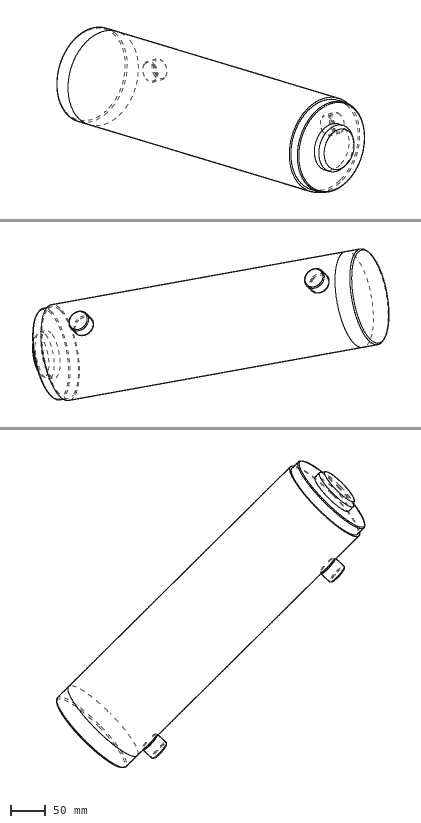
import cadquery as cq

total_length = 515.0
front_cap_length = 25.0
shell_end = 484.5
rear_cap_end = 499.5

shell_radius = 70.0
rear_cap_radius = 67.0
front_cap_chamfer = 2.0
rear_cap_chamfer = 1.5

hub_radius = 34.5
hub_chamfer_length = 6.0
hub_chamfer_depth = 4.5

port_radius = 15.5
port_chamfer = 1.5
port_base = 69.0
port_tip = 90.0
port_stations = [49.5, 417.5]


def disc(start, end, radius):
    """Solid cylinder on the main axis between two X stations."""
    return cq.Workplane("YZ", origin=(start, 0, 0)).circle(radius).extrude(end - start)


def make_front_cap():
    return disc(0, front_cap_length, shell_radius).faces("<X").chamfer(front_cap_chamfer)


def make_shell(ports):
    """Main cylinder with a shallow seat where each port sinks into its side."""
    shell = disc(front_cap_length, shell_end, shell_radius)
    for port in ports:
        shell = shell.cut(port)
    return shell


def make_rear_cap():
    return disc(shell_end, rear_cap_end, rear_cap_radius).faces(">X").chamfer(rear_cap_chamfer)


def make_hub():
    """Round hub with a bevelled outer end, built as a revolved half profile."""
    bevel_start = total_length - hub_chamfer_length
    return (
        cq.Workplane("XY")
        .moveTo(rear_cap_end, 0)
        .lineTo(rear_cap_end, hub_radius)
        .lineTo(bevel_start, hub_radius)
        .lineTo(total_length, hub_radius - hub_chamfer_depth)
        .lineTo(total_length, 0)
        .close()
        .revolve(360, (0, 0, 0), (1, 0, 0))
    )


def make_port(station):
    """Short cylinder along Y with both end edges chamfered."""
    return (
        cq.Workplane("XZ", origin=(station, port_base, 0))
        .circle(port_radius)
        .extrude(port_base - port_tip)
        .faces("<Y or >Y")
        .chamfer(port_chamfer)
    )


ports = [make_port(station) for station in port_stations]
front_cap = make_front_cap()
shell = make_shell(ports)
rear_cap = make_rear_cap()
hub = make_hub()

result = cq.Compound.makeCompound(
    [front_cap.val(), shell.val(), rear_cap.val(), hub.val()] + [port.val() for port in ports]
)